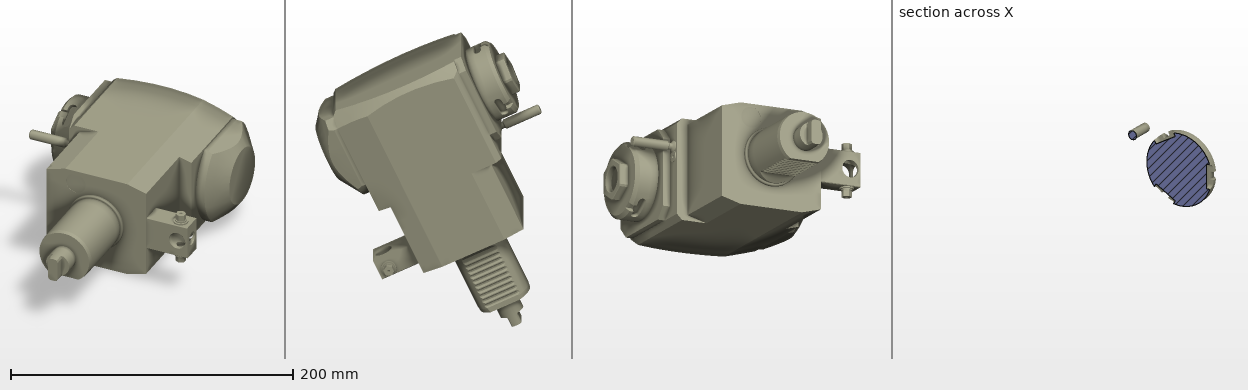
import cadquery as cq
import math


HALF_HEIGHT = 37.5
SIDE_HALF_HEIGHT = 33.4
NECK_HALF_WIDTH = 39.1
SLOPE = math.tan(math.radians(15.5))
HEAD_LEFT = -47.5
HEAD_RIGHT = 48.4
HEAD_FRONT = 55.0
HEAD_REAR = 134.0
REAR_CORNER_CHAMFER = 3.0
FLAT_HALF_WIDTH = NECK_HALF_WIDTH - (HALF_HEIGHT - SIDE_HALF_HEIGHT) / SLOPE

BEVEL_CENTRE_X = -9.7
BEVEL_RADIUS = 140.0
BEVEL_PEAK_Y = 129.9
BEVEL_REACH = 70.0
BEVEL_TOOL_SIZE = 60.0

SPINDLE_Y = 100.0
PLATE_FACE = -53.0
PLATE_FRONT = 66.5
PLATE_HALF_HEIGHT = 33.3
PLATE_CORNER = 8.2
NUT_RELIEF = 0.7
NUT_RELIEF_RADIUS = 26.0
NUT_FACE = -70.7
NUT_RADIUS = 27.7
NUT_CHAMFER = 2.5
SLOT_COUNT = 3
SLOT_WIDTH = 5.6
SLOT_LENGTH = 18.5
SLOT_X = -62.4
SLOT_FLOOR_RADIUS = 23.2
NOTCH_WIDTH = 6.0
NOTCH_FLOOR_RADIUS = 24.3
HEX_FACE = -77.0
HEX_ACROSS_FLATS = 27.0
HEX_CORNER_CHAMFER = 1.0
HEX_CHAMFER = 0.5
BORE_RADIUS = 9.2
BORE_CHAMFER = 0.5
BORE_DEPTH = 4.5

CAP_RADIUS = 37.5
CAP_CONE_START = 55.2
CAP_FACE = 67.0
CAP_FACE_RADIUS = 21.3
CAP_REAR = 130.1
CAP_HALF_HEIGHT = 29.4
CAP_SLOPE_START = 51.4
CAP_SLOPE = math.tan(math.radians(15))

PIPE_Y = 60.4
PIPE_Z = 17.5
PIPE_END = -80.33
PIPE_SHOULDER = -53.0
PIPE_RADIUS = 3.55
PIPE_CHAMFER = 0.8
PIPE_NECK_START = -52.0
PIPE_NECK_END = -49.6
PIPE_NECK_RADIUS = 2.4
PIPE_SEAT_RADIUS = 4.2
SEAT_HEIGHT = 0.7
PLUG_Z = 10.2
PLUG_RADIUS = 4.0
PLUG_HOLE_RADIUS = 1.2
PLUG_HOLE_DEPTH = 3.0

COLLAR_RADIUS = 21.5
COLLAR_LENGTH = 2.3
COLLAR_FILLET = 1.0
RELIEF_RADIUS = 19.7
RELIEF_END = 3.6
SHANK_RADIUS = 20.0
SHANK_LENGTH = 53.0
SHANK_TIP_RADIUS = 19.5
SHANK_TIP_LENGTH = 3.2
RACK_Z = -15.9
RACK_RUNOUT_START = 4.0
TOOTH_PITCH = 4.0
TOOTH_DEPTH = 1.2
TOOTH_COUNT = 10
GROOVE_FLOOR_WIDTH = 1.0
FIRST_GROOVE = 11.4

TANG_RADIUS = 9.0
TANG_SHOULDER = 64.0
TANG_END = 72.0
TANG_HALF_WIDTH = 3.85
TANG_FILLET = 1.0
TANG_FLAT_HALF = 6.8
TANG_EDGE_BEVEL = 1.1

DISC_X = -16.1
DISC_Z = 27.5
DISC_RADIUS = 7.6
DISC_DEPTH = 0.2

BRACKET_END = 71.0
BRACKET_FRONT = 1.0
BRACKET_REAR = 16.0
BRACKET_HALF_HEIGHT = 12.75
BRACKET_EDGE_CHAMFER = 0.5
BRACKET_HOLE_X = 63.0
BRACKET_HOLE_RADIUS = 6.4
END_BORE_Y = 8.5
END_BORE_RADIUS = 5.0
CROSS_BORE_RADIUS = 3.0
CROSS_BORE_HALF_LENGTH = 9.0
SCREW_Y = 7.1
WASHER_RADIUS = 5.3
WASHER_HEIGHT = 1.1
SCREW_COLLAR_RADIUS = 4.2
SCREW_HEAD_BASE = 14.9
SCREW_TOP = 19.5
SCREW_ACROSS_FLATS = 6.6
SCREW_HOLE_RADIUS = 1.0
SCREW_HOLE_DEPTH = 3.0


def box(x0, x1, y0, y1, z0, z1):
    """Box between two opposite corners."""
    return cq.Workplane("XY").box(x1 - x0, y1 - y0, z1 - z0, centered=False).translate((x0, y0, z0))


def turned_x(profile, y, z=0.0):
    """Solid of revolution about an axis along X; profile holds (x, radius) points."""
    outline = [(profile[0][0], 0)] + profile + [(profile[-1][0], 0)]
    solid = cq.Workplane("XY").polyline(outline).close().revolve(360, (0, 0, 0), (1, 0, 0))
    return solid.translate((0, y, z))


def mirrored_outline(upper):
    """Closed XZ outline made from its upper half and the mirrored lower half."""
    return upper + [(x, -z) for x, z in reversed(upper)]


def along_y(outline, y0, y1):
    """XZ outline extruded from y0 to y1."""
    return cq.Workplane("XZ", origin=(0, y0, 0)).polyline(outline).close().extrude(y0 - y1)


def bevel_cutter():
    """Tool that cuts the arched 45 degree bevel of the upper rear edge."""
    normal = (0, 1, -1)
    plane = cq.Plane(origin=(BEVEL_CENTRE_X, BEVEL_PEAK_Y, HALF_HEIGHT), xDir=(1, 0, 0), normal=normal)
    sag = (BEVEL_RADIUS - math.sqrt(BEVEL_RADIUS ** 2 - BEVEL_REACH ** 2)) / math.sqrt(2)
    return (
        cq.Workplane(plane)
        .moveTo(-BEVEL_REACH, sag)
        .threePointArc((0, 0), (BEVEL_REACH, sag))
        .lineTo(BEVEL_REACH, -BEVEL_TOOL_SIZE)
        .lineTo(-BEVEL_REACH, -BEVEL_TOOL_SIZE)
        .close()
        .extrude(BEVEL_TOOL_SIZE, both=True)
    )


def housing():
    neck = along_y(
        mirrored_outline([
            (-NECK_HALF_WIDTH, SIDE_HALF_HEIGHT),
            (-FLAT_HALF_WIDTH, HALF_HEIGHT),
            (FLAT_HALF_WIDTH, HALF_HEIGHT),
            (NECK_HALF_WIDTH, SIDE_HALF_HEIGHT),
        ]),
        0, HEAD_FRONT,
    )
    left_chamfer = HALF_HEIGHT - SIDE_HALF_HEIGHT
    head = along_y(
        mirrored_outline([
            (HEAD_LEFT, SIDE_HALF_HEIGHT),
            (HEAD_LEFT + left_chamfer, HALF_HEIGHT),
            (FLAT_HALF_WIDTH, HALF_HEIGHT),
            (HEAD_RIGHT, HALF_HEIGHT - (HEAD_RIGHT - FLAT_HALF_WIDTH) * SLOPE),
        ]),
        HEAD_FRONT, HEAD_REAR,
    )
    head = head.faces(">Y").edges(">X").chamfer(REAR_CORNER_CHAMFER)
    cutter = bevel_cutter()
    head = head.cut(cutter).cut(cutter.mirror("XY"))
    disc = cq.Workplane("XZ").center(DISC_X, DISC_Z).circle(DISC_RADIUS).extrude(-DISC_DEPTH)
    return neck.union(head).cut(disc)


def flange_plate():
    plate = box(PLATE_FACE, HEAD_LEFT, PLATE_FRONT, HEAD_REAR, -PLATE_HALF_HEIGHT, PLATE_HALF_HEIGHT)
    return plate.edges("|X").chamfer(PLATE_CORNER)


def nut_slot():
    """Radial slot with rounded ends and the notch joining it to the nut face, on the +Y side."""
    outside = SPINDLE_Y + NUT_RADIUS + NUT_CHAMFER
    slot_floor = SPINDLE_Y + SLOT_FLOOR_RADIUS
    slot = (
        cq.Workplane("XZ", origin=(SLOT_X, slot_floor, 0))
        .slot2D(SLOT_LENGTH, SLOT_WIDTH, 90)
        .extrude(slot_floor - outside)
    )
    notch_floor = SPINDLE_Y + NOTCH_FLOOR_RADIUS
    notch = box(NUT_FACE, SLOT_X, notch_floor, outside, -NOTCH_WIDTH / 2, NOTCH_WIDTH / 2)
    return slot.union(notch)


def clamping_nut():
    nut = turned_x(
        [
            (NUT_FACE, NUT_RADIUS - NUT_CHAMFER),
            (NUT_FACE + NUT_CHAMFER, NUT_RADIUS),
            (PLATE_FACE - NUT_RELIEF, NUT_RADIUS),
            (PLATE_FACE - NUT_RELIEF, NUT_RELIEF_RADIUS),
            (PLATE_FACE, NUT_RELIEF_RADIUS),
        ],
        SPINDLE_Y,
    )
    for index in range(SLOT_COUNT):
        angle = index * 360 / SLOT_COUNT
        nut = nut.cut(nut_slot().rotate((0, SPINDLE_Y, 0), (1, SPINDLE_Y, 0), angle))

    corner_radius = HEX_ACROSS_FLATS / math.sqrt(3)
    hexagon = (
        cq.Workplane("YZ", origin=(HEX_FACE, SPINDLE_Y, 0))
        .transformed(rotate=(0, 0, 90))
        .polygon(6, 2 * corner_radius)
        .extrude(NUT_FACE - HEX_FACE)
    )
    hexagon = hexagon.edges("|X").chamfer(HEX_CORNER_CHAMFER)
    hexagon = hexagon.faces("<X").edges().chamfer(HEX_CHAMFER)
    bore = turned_x(
        [
            (HEX_FACE, BORE_RADIUS + BORE_CHAMFER),
            (HEX_FACE + BORE_CHAMFER, BORE_RADIUS),
            (HEX_FACE + BORE_DEPTH, BORE_RADIUS),
        ],
        SPINDLE_Y,
    )
    return nut.union(hexagon).cut(bore)


def cover_cap():
    cap = turned_x(
        [
            (HEAD_RIGHT, CAP_RADIUS),
            (CAP_CONE_START, CAP_RADIUS),
            (CAP_FACE, CAP_FACE_RADIUS),
        ],
        SPINDLE_Y,
    )
    end_half_height = CAP_HALF_HEIGHT - (CAP_FACE - CAP_SLOPE_START) * CAP_SLOPE
    envelope = along_y(
        mirrored_outline([
            (HEAD_RIGHT, CAP_HALF_HEIGHT),
            (CAP_SLOPE_START, CAP_HALF_HEIGHT),
            (CAP_FACE, end_half_height),
        ]),
        SPINDLE_Y - CAP_RADIUS, CAP_REAR,
    )
    return cap.intersect(envelope)


def coolant_pipe():
    return turned_x(
        [
            (PIPE_END, PIPE_RADIUS - PIPE_CHAMFER),
            (PIPE_END + PIPE_CHAMFER, PIPE_RADIUS),
            (PIPE_SHOULDER, PIPE_RADIUS),
            (PIPE_NECK_START, PIPE_NECK_RADIUS),
            (PIPE_NECK_END, PIPE_NECK_RADIUS),
            (HEAD_LEFT - SEAT_HEIGHT, PIPE_SEAT_RADIUS),
            (HEAD_LEFT, PIPE_SEAT_RADIUS),
        ],
        PIPE_Y, PIPE_Z,
    )


def coolant_plug():
    face = HEAD_LEFT - SEAT_HEIGHT
    return turned_x([(face, PLUG_RADIUS), (HEAD_LEFT, PLUG_RADIUS)], PIPE_Y, PLUG_Z)


def plug_hole():
    face = HEAD_LEFT - SEAT_HEIGHT
    return turned_x([(face, PLUG_HOLE_RADIUS), (face + PLUG_HOLE_DEPTH, PLUG_HOLE_RADIUS)], PIPE_Y, PLUG_Z)


def shank():
    collar = cq.Workplane("XZ").circle(COLLAR_RADIUS).extrude(COLLAR_LENGTH)
    collar = collar.faces("<Y").edges().fillet(COLLAR_FILLET)
    tip_start = -(SHANK_LENGTH - SHANK_TIP_LENGTH)
    stem = (
        cq.Workplane("XY")
        .polyline([
            (0, 0),
            (RELIEF_RADIUS, 0),
            (RELIEF_RADIUS, -RELIEF_END),
            (SHANK_RADIUS, -RELIEF_END),
            (SHANK_RADIUS, tip_start),
            (SHANK_TIP_RADIUS, -SHANK_LENGTH),
            (0, -SHANK_LENGTH),
        ])
        .close()
        .revolve(360, (0, 0, 0), (0, 1, 0))
    )
    return stem.cut(rack_cutter()).union(collar)


def rack_cutter():
    """Toothed flat with a 45 degree run-out, on the underside of the shank."""
    bottom = RACK_Z - SHANK_RADIUS
    root = RACK_Z + TOOTH_DEPTH
    floor = GROOVE_FLOOR_WIDTH / 2
    mouth = floor + TOOTH_DEPTH
    outline = [
        (-RACK_RUNOUT_START, bottom),
        (-RACK_RUNOUT_START, -SHANK_RADIUS),
        (-RACK_RUNOUT_START - SHANK_RADIUS - root, root),
    ]
    for index in range(TOOTH_COUNT):
        y = -(FIRST_GROOVE + index * TOOTH_PITCH)
        if index > 0:
            outline += [(y + mouth, RACK_Z), (y + floor, root)]
        outline += [(y - floor, root), (y - mouth, RACK_Z)]
    outline += [(-SHANK_LENGTH, RACK_Z), (-SHANK_LENGTH, bottom)]
    return cq.Workplane("YZ").polyline(outline).close().extrude(SHANK_RADIUS, both=True)


def drive_tang():
    base = cq.Workplane("XZ", origin=(0, -SHANK_LENGTH, 0))
    rod = base.circle(TANG_RADIUS).extrude(TANG_END - SHANK_LENGTH)
    blade_outline = mirrored_outline([
        (-TANG_HALF_WIDTH, TANG_FLAT_HALF),
        (-TANG_HALF_WIDTH + TANG_EDGE_BEVEL, TANG_RADIUS),
        (TANG_HALF_WIDTH - TANG_EDGE_BEVEL, TANG_RADIUS),
        (TANG_HALF_WIDTH, TANG_FLAT_HALF),
    ])
    shoulder = box(-TANG_RADIUS, TANG_RADIUS, -TANG_SHOULDER, -SHANK_LENGTH, -TANG_RADIUS, TANG_RADIUS)
    blade = along_y(blade_outline, -TANG_END, -TANG_SHOULDER)
    foot = (
        cq.Workplane("XY", origin=(0, 0, -TANG_RADIUS))
        .moveTo(-TANG_HALF_WIDTH - TANG_FILLET, -TANG_SHOULDER)
        .radiusArc((-TANG_HALF_WIDTH, -TANG_SHOULDER - TANG_FILLET), TANG_FILLET)
        .lineTo(TANG_HALF_WIDTH, -TANG_SHOULDER - TANG_FILLET)
        .radiusArc((TANG_HALF_WIDTH + TANG_FILLET, -TANG_SHOULDER), TANG_FILLET)
        .close()
        .extrude(2 * TANG_RADIUS)
    )
    return rod.intersect(shoulder.union(blade).union(foot))


def bracket_screw():
    """Hexagonal screw head on a washer, on top of the bracket."""
    base = cq.Workplane("XY", origin=(BRACKET_HOLE_X, SCREW_Y, BRACKET_HALF_HEIGHT))
    washer = base.circle(WASHER_RADIUS).extrude(WASHER_HEIGHT)
    collar = base.circle(SCREW_COLLAR_RADIUS).extrude(SCREW_HEAD_BASE - BRACKET_HALF_HEIGHT)
    head = (
        base.transformed(rotate=(0, 0, 90))
        .polygon(6, 2 * SCREW_ACROSS_FLATS / math.sqrt(3))
        .extrude(SCREW_TOP - BRACKET_HALF_HEIGHT)
    )
    screw = washer.union(collar).union(head)
    return screw.faces(">Z").workplane().hole(2 * SCREW_HOLE_RADIUS, SCREW_HOLE_DEPTH)


def side_bracket():
    block = box(
        NECK_HALF_WIDTH, BRACKET_END,
        BRACKET_FRONT, BRACKET_REAR,
        -BRACKET_HALF_HEIGHT, BRACKET_HALF_HEIGHT,
    )
    block = block.faces("<Y").edges("|X").chamfer(BRACKET_EDGE_CHAMFER)
    hole = (
        cq.Workplane("XZ", origin=(BRACKET_HOLE_X, 0, 0))
        .circle(BRACKET_HOLE_RADIUS)
        .extrude(-BRACKET_REAR)
    )
    end_bore = turned_x([(BRACKET_HOLE_X, END_BORE_RADIUS), (BRACKET_END, END_BORE_RADIUS)], END_BORE_Y)
    cross_bore = (
        cq.Workplane("XY", origin=(BRACKET_HOLE_X, SCREW_Y, 0))
        .circle(CROSS_BORE_RADIUS)
        .extrude(CROSS_BORE_HALF_LENGTH, both=True)
    )
    screw = bracket_screw()
    return block.cut(hole).cut(end_bore).cut(cross_bore).union(screw).union(screw.mirror("XY"))


result = (
    housing()
    .union(flange_plate())
    .union(clamping_nut())
    .union(cover_cap())
    .union(coolant_pipe())
    .union(coolant_plug())
    .cut(plug_hole())
    .union(shank())
    .union(drive_tang())
    .union(side_bracket())
)